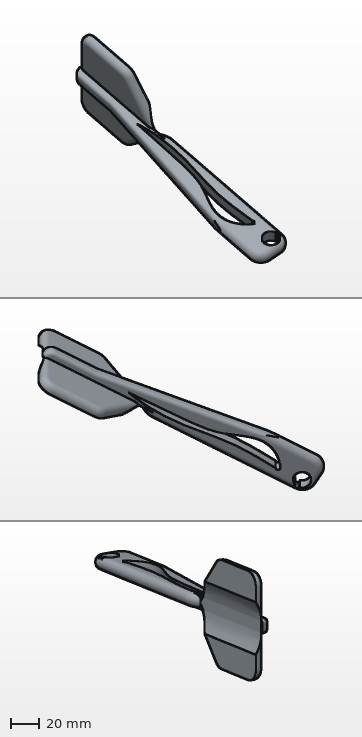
import cadquery as cq

length = 220.5
height = 30.5
blade_span = 80.0
overlap = 11.0

blade_thickness = 6.8
blade_shoulder = 49.8
blade_apex = 85.1
blade_corner_radius = 10.1
blade_edge_radius = 4.9

trough_depth = 5.0
trough_half_floor = 4.5
trough_half_width = 19.2
trough_rim_slope = 2.0

handle_width = 10.1
cutter_thickness = 2 * handle_width
tail_corner_radius = 10.1
tail_edge_flat = 0.05
tail_edge_radius = (handle_width - tail_edge_flat) / 2
back_arc_radius = 17.6
back_arc_end = 93.7
bar_back = -5.5
bar_front = -12.8
bar_corner_radius = 7.3
bar_edge_radius = 2.6
slope_start = 41.0
slope_end = 180.0
slope_blend_radius = 22.0

hole_x = 210.0
hole_y = -10.4
hole_radius = 6.5
notch_width = 4.0
notch_top = -2.2

window_tip = (68.0, -11.0)
window_back_end = (188.8, -9.5)
window_front_end = (191.6, -11.2)
window_corner_middle = (191.6, -9.7)
window_back_points = [(102.8, -7.0), (122.0, -8.2), (150.8, -11.2), (163.5, -11.2)]
window_front_points = [(186.5, -17.0), (177.5, -22.5), (170.0, -23.8), (162.5, -23.0), (142.7, -15.7), (116.0, -12.0)]


def centred_plate(outline, thickness):
    """Extrude an XY outline symmetrically about Z = 0."""
    return outline.extrude(thickness).translate((0, 0, -thickness / 2))


def make_blade():
    half_span = blade_span / 2
    entry_way = (-1, trough_rim_slope)
    exit_way = (1, trough_rim_slope)
    floor_way = (0, 1)
    blade = (
        cq.Workplane("XZ")
        .moveTo(0, -half_span)
        .lineTo(blade_shoulder, -half_span)
        .lineTo(blade_apex, 0)
        .lineTo(blade_shoulder, half_span)
        .lineTo(0, half_span)
        .close()
        .extrude(blade_thickness)
    )
    corners = blade.edges("|Y").edges(cq.selectors.BoxSelector(
        (-overlap, -height, -blade_span), (blade_shoulder + overlap, height, blade_span)))
    blade = corners.fillet(blade_corner_radius)
    blade = blade.faces("<Y").edges().fillet(blade_edge_radius)
    trough = (
        cq.Workplane("YZ")
        .moveTo(0, -trough_half_width)
        .spline([(-trough_depth, -trough_half_floor)], tangents=[entry_way, floor_way], includeCurrent=True)
        .lineTo(-trough_depth, trough_half_floor)
        .spline([(0, trough_half_width)], tangents=[floor_way, exit_way], includeCurrent=True)
        .close()
        .extrude(length)
    )
    return blade.cut(trough)


def make_handle_back():
    """Round-edged tail joined to the plain bar that runs under the blade."""
    tail_start = back_arc_end - back_arc_radius
    outline = (
        cq.Workplane("XY")
        .moveTo(tail_start, -height)
        .lineTo(tail_start, -back_arc_radius)
        .radiusArc((back_arc_end, 0), back_arc_radius)
        .lineTo(length, 0)
        .lineTo(length, -height)
        .close()
    )
    tail = centred_plate(outline, handle_width)
    tail = tail.edges("|Z and >X").fillet(tail_corner_radius)
    tail = tail.faces("|Z").edges("not <X").fillet(tail_edge_radius)
    bar_outline = cq.Workplane("XY").moveTo(0, -height).lineTo(back_arc_end, -height)
    bar_outline = bar_outline.lineTo(back_arc_end, bar_back).lineTo(0, bar_back).close()
    return tail.union(centred_plate(bar_outline, handle_width))


def make_handle_front():
    """Envelope with the rounded bar end and the sloping front edge."""
    slope = (height + bar_front) / (slope_end - slope_start)
    far_x = length + overlap
    far_y = bar_front - slope * (far_x - slope_start)
    outline = (
        cq.Workplane("XY")
        .moveTo(0, overlap)
        .lineTo(0, bar_front)
        .lineTo(slope_start, bar_front)
        .lineTo(far_x, far_y)
        .lineTo(far_x, overlap)
        .close()
    )
    envelope = centred_plate(outline, handle_width)
    bar_corner = cq.selectors.NearestToPointSelector((0, bar_front, 0))
    envelope = envelope.edges("|Z").edges(bar_corner).fillet(bar_corner_radius)
    slope_corner = cq.selectors.NearestToPointSelector((slope_start, bar_front, 0))
    envelope = envelope.edges("|Z").edges(slope_corner).fillet(slope_blend_radius)
    return envelope.faces("|Z").edges("not(>X or >Y)").fillet(bar_edge_radius)


def make_window():
    outline = (
        cq.Workplane("XY")
        .moveTo(*window_tip)
        .spline(window_back_points + [window_back_end], includeCurrent=True)
        .threePointArc(window_corner_middle, window_front_end)
        .spline(window_front_points + [window_tip], includeCurrent=True)
        .close()
    )
    return centred_plate(outline, cutter_thickness)


def make_hanging_hole():
    hole = centred_plate(cq.Workplane("XY").center(hole_x, hole_y).circle(hole_radius), cutter_thickness)
    notch_length = notch_top - hole_y
    notch = cq.Workplane("XY").center(hole_x, hole_y + notch_length / 2).rect(notch_width, notch_length)
    return hole.union(centred_plate(notch, cutter_thickness))


handle = make_handle_back().intersect(make_handle_front())
handle = handle.cut(make_window()).cut(make_hanging_hole())
result = make_blade().union(handle)